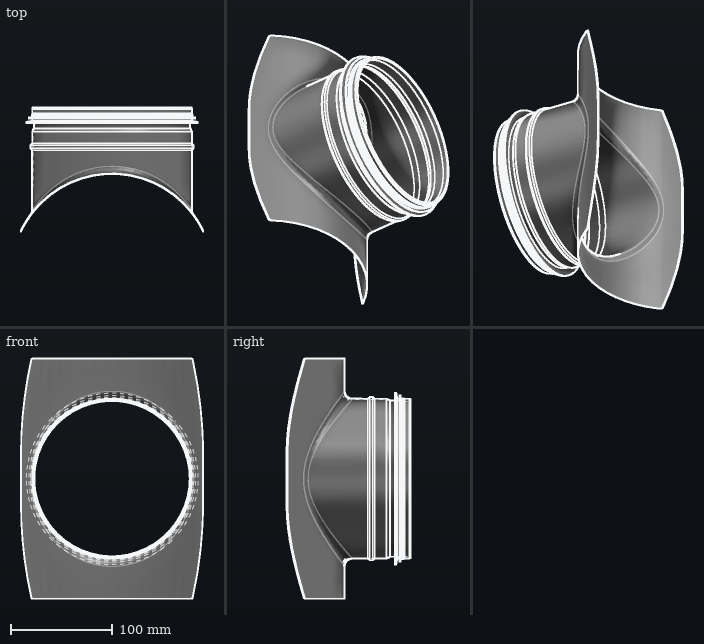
import cadquery as cq
import math

length = 237.0
width = 180.0
wall = 0.6
saddle_outer_r = 100.0
saddle_inner_r = saddle_outer_r - wall
end_width = 158.8
straight_edge = 47.5
corner_r = 1.7

depth = 122.8
pipe_outer_r = 158.0 / 2
pipe_inner_r = pipe_outer_r - wall
blend_r = 7.3
saddle_tip_y = math.sqrt(saddle_inner_r**2 - (width / 2) ** 2)
pipe_end_y = saddle_tip_y + depth

neck_outer_r = 154.3 / 2
neck_inner_r = neck_outer_r - wall
hem_taper = 1.7
hem_tip_r = 157.0 / 2
hem_end = 5.7
ramp_start = 20.5
ramp_lower = (155.5 / 2, 20.9)
ramp_upper = (157.0 / 2, 23.2)
ramp_end = 24.2
spigot_end = 30.8

bead_start = 35.5
bead_end = 42.2
bead_r = 161.2 / 2
bead_flank = 2.0

gasket_r = pipe_outer_r
gasket_end = 15.9
small_lip = (7.0, 8.5, 159.0 / 2)
middle_lip = (10.0, 11.1, 164.5 / 2)
large_lip_start = 13.3
large_lip_r = 169.5 / 2
large_lip_rim = 1.7


def ring(points):
    """Revolve (radius, distance from pipe end) points about the pipe axis."""
    profile = [(radius, pipe_end_y - distance) for radius, distance in points]
    return cq.Workplane("XY").polyline(profile).close().revolve(360, (0, 0, 0), (0, 1, 0))


def blended_tee(saddle_r, pipe_r, fillet_r):
    """Half cylinder along Z joined to a cylinder along +Y, with a rounded junction."""
    half = (
        cq.Workplane("XY", origin=(0, 0, -length / 2))
        .moveTo(-saddle_r, 0)
        .threePointArc((0, saddle_r), (saddle_r, 0))
        .close()
        .extrude(length)
    )
    branch = cq.Workplane("XZ").circle(pipe_r).extrude(-(pipe_end_y - spigot_end))
    tee = half.union(branch)
    reach = pipe_r + wall
    junction = cq.selectors.BoxSelector(
        (-reach, wall, -reach), (reach, saddle_r + wall, reach), boundingbox=True
    )
    return tee.edges(junction).fillet(fillet_r)


def side_arc_middle(sign):
    """Midpoint of the side arc that leaves the straight edge tangentially."""
    drop = (width - end_width) / 2
    rise = (length - straight_edge) / 2
    radius = (rise**2 + drop**2) / (2 * drop)
    half_angle = math.asin(rise / radius) / 2
    x = width / 2 - radius * (1 - math.cos(half_angle))
    z = straight_edge / 2 + radius * math.sin(half_angle)
    return (sign * x, sign * z)


def saddle_outline():
    """Prism along Y with bowed long sides, used to trim the curved sheet."""
    side_x = width / 2
    end_x = end_width / 2
    end_z = length / 2
    flat_z = straight_edge / 2
    return (
        cq.Workplane("XZ")
        .moveTo(-side_x, -flat_z)
        .lineTo(-side_x, flat_z)
        .tangentArcPoint((-end_x, end_z), relative=False)
        .lineTo(end_x, end_z)
        .threePointArc(side_arc_middle(1), (side_x, flat_z))
        .lineTo(side_x, -flat_z)
        .tangentArcPoint((end_x, -end_z), relative=False)
        .lineTo(-end_x, -end_z)
        .threePointArc(side_arc_middle(-1), (-side_x, -flat_z))
        .close()
        .extrude(-pipe_end_y)
        .edges("|Y")
        .edges(">Z or <Z")
        .fillet(corner_r)
    )


def make_spigot():
    return ring([
        (neck_inner_r, 0),
        (hem_tip_r, 0),
        (pipe_outer_r, hem_taper),
        (pipe_outer_r, hem_end),
        (neck_outer_r, hem_end),
        (neck_outer_r, ramp_start),
        ramp_lower,
        ramp_upper,
        (pipe_outer_r, ramp_end),
        (pipe_outer_r, spigot_end),
        (pipe_inner_r, spigot_end),
        (pipe_inner_r, ramp_end),
        (neck_inner_r, ramp_start),
    ])


def make_bead():
    return ring([
        (pipe_inner_r, bead_start),
        (pipe_outer_r, bead_start),
        (bead_r, bead_start + bead_flank),
        (bead_r, bead_end - bead_flank),
        (pipe_outer_r, bead_end),
        (pipe_inner_r, bead_end),
    ])


def make_fitting():
    outside = blended_tee(saddle_outer_r, pipe_outer_r, blend_r)
    inside = blended_tee(saddle_inner_r, pipe_inner_r, blend_r + wall)
    shell = outside.cut(inside).intersect(saddle_outline())
    return shell.union(make_bead()).union(make_spigot())


def make_gasket():
    points = [(neck_outer_r, hem_end), (gasket_r, hem_end)]
    for start, end, radius in (small_lip, middle_lip):
        points += [(gasket_r, start), (radius, start), (radius, end), (gasket_r, end)]
    points += [
        (gasket_r, large_lip_start),
        (large_lip_r, gasket_end - large_lip_rim),
        (large_lip_r, gasket_end),
        (neck_outer_r, gasket_end),
    ]
    return ring(points)


fitting = make_fitting()
gasket = make_gasket()
result = cq.Compound.makeCompound([fitting.solids().val(), gasket.solids().val()])